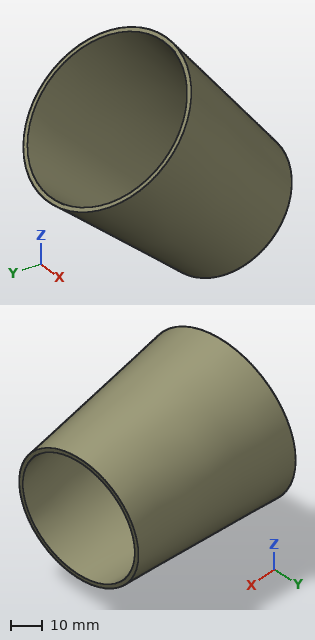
import cadquery as cq

length = 66.0
wide_diameter = 63.5
narrow_diameter = 50.8
wall = 1.6

wide_radius = wide_diameter / 2
narrow_radius = narrow_diameter / 2

wall_section = (
    cq.Workplane("XY")
    .moveTo(-length / 2, wide_radius)
    .lineTo(length / 2, narrow_radius)
    .lineTo(length / 2, narrow_radius - wall)
    .lineTo(-length / 2, wide_radius - wall)
    .close()
)

result = wall_section.revolve(360, (0, 0, 0), (1, 0, 0))